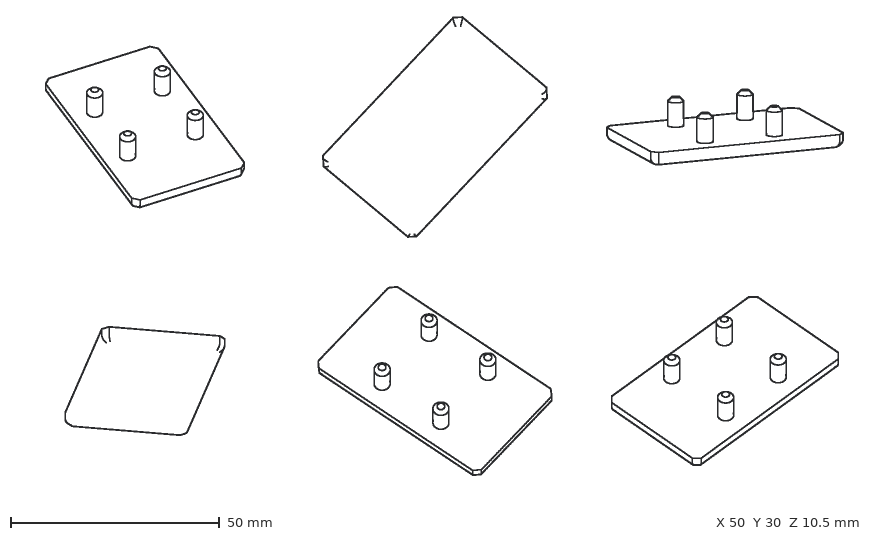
import cadquery as cq

length = 50.0
width = 30.0
thickness = 3.5
corner_chamfer = 1.5
bottom_radius = 2.0

total_height = 10.5
pin_height = total_height - thickness
pin_diameter = 3.85
pin_tip_diameter = 1.85
pin_tip_height = 1.0
pin_spacing = 18.0


def make_plate():
    """Plate with cut corners and a rounded underside edge."""
    plate = cq.Workplane("XY").box(length, width, thickness, centered=(True, True, False))
    plate = plate.edges("|Z").chamfer(corner_chamfer)
    return plate.faces("<Z").edges().fillet(bottom_radius)


def make_pin():
    """Round pin with a conical tip, with its base at Z = 0."""
    pin_radius = pin_diameter / 2
    tip_radius = pin_tip_diameter / 2
    return (
        cq.Workplane("XZ")
        .moveTo(0, 0)
        .lineTo(pin_radius, 0)
        .lineTo(pin_radius, pin_height - pin_tip_height)
        .lineTo(tip_radius, pin_height)
        .lineTo(0, pin_height)
        .close()
        .revolve(360, (0, 0, 0), (0, 1, 0))
    )


result = make_plate()
for x_side in (-1, 1):
    for y_side in (-1, 1):
        pin_position = (x_side * pin_spacing / 2, y_side * pin_spacing / 2, thickness)
        result = result.union(make_pin().translate(pin_position))